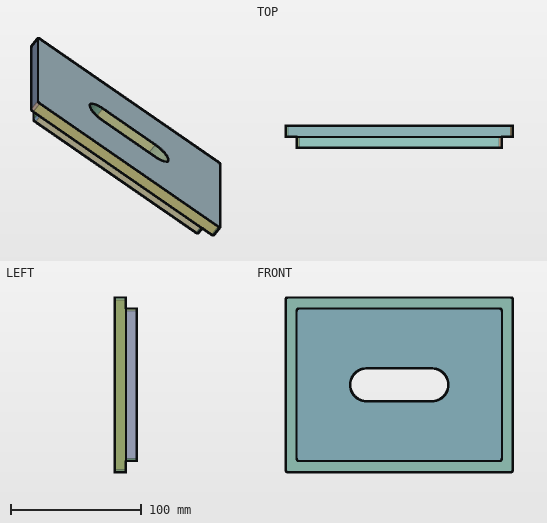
import cadquery as cq

flange_width = 174.0
flange_height = 134.0
flange_thickness = 8.5
corner_radius = 2.0

margin = 8.5
panel_width = flange_width - 2 * margin
panel_height = flange_height - 2 * margin
panel_thickness = 8.5

slot_length = 75.0
slot_height = 25.0

total_thickness = flange_thickness + panel_thickness


def rounded_plate(width, height, thickness):
    """Upright plate from Y = 0 toward -Y, with its four Y-direction edges rounded."""
    plate = cq.Workplane("XZ").rect(width, height).extrude(thickness)
    return plate.edges("|Y").fillet(corner_radius)


def slot_cutter():
    """Round-ended bar running through both plates."""
    return cq.Workplane("XZ").slot2D(slot_length, slot_height).extrude(total_thickness)


flange = rounded_plate(flange_width, flange_height, flange_thickness)
panel = rounded_plate(panel_width, panel_height, total_thickness)

result = flange.union(panel).cut(slot_cutter())